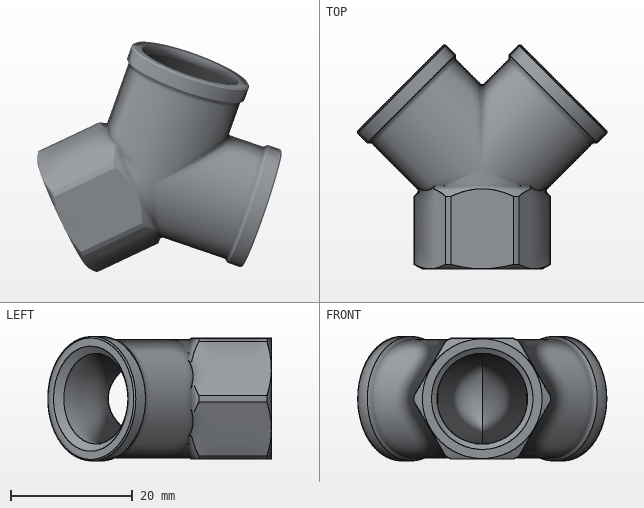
import cadquery as cq
import math


pipe_radius = 9.75
bore_radius = 7.45
blend_radius = 0.5

branch_angle = 45.0
branch_length = 19.0
collar_radius = 10.25
collar_length = 3.0
collar_edge_chamfer = 0.25
branch_mouth_chamfer = 1.2

inlet_length = 16.355
hex_start = 2.92
hex_across_flats = 19.9
hex_corner_radius = 11.2
hex_face_radius = 9.85
inner_chamfer_angle = 45.0
outer_chamfer_angle = 30.0
inlet_mouth_chamfer = 0.9


def revolve_about_y(points):
    """Solid of revolution about the Y axis from a (radius, y) outline."""
    return cq.Workplane("XY").polyline(points).close().revolve(360, (0, 0, 0), (0, 1, 0))


def edges_within(y_low, y_high):
    """Selector for edges lying wholly between two Y positions."""
    reach = 2 * branch_length
    return cq.selectors.BoxSelector(
        (-reach, y_low, -reach), (reach, y_high, reach), boundingbox=True
    )


def place_branches(leg):
    """Union of a leg built along +Y, turned to both branch directions."""
    right = leg.rotate((0, 0, 0), (0, 0, 1), -branch_angle)
    return right.union(right.mirror("YZ"))


def branch_outside():
    """Pipe along +Y with a raised end collar that slopes and blends back to the pipe."""
    collar_start = branch_length - collar_length
    collar_step = collar_radius - pipe_radius
    branch = revolve_about_y([
        (0, 0),
        (pipe_radius, 0),
        (pipe_radius, collar_start),
        (collar_radius, collar_start + collar_step),
        (collar_radius, branch_length - collar_edge_chamfer),
        (collar_radius - collar_edge_chamfer, branch_length),
        (0, branch_length),
    ])
    half_step = collar_step / 2
    collar_foot = edges_within(collar_start - half_step, collar_start + half_step)
    return branch.edges(collar_foot).fillet(blend_radius)


def pipe_body():
    """Outer walls of the three legs, blended where they meet."""
    neck = cq.Workplane("XZ").circle(pipe_radius).extrude(inlet_length)
    body = place_branches(branch_outside()).union(neck)
    return body.edges("%ELLIPSE").fillet(blend_radius)


def turned_head():
    """Round blank of the inlet head, with a cone at each end."""
    inner_rise = hex_corner_radius - pipe_radius
    inner_drop = inner_rise * math.tan(math.radians(inner_chamfer_angle))
    outer_rise = hex_corner_radius - hex_face_radius
    outer_drop = outer_rise * math.tan(math.radians(outer_chamfer_angle))
    return revolve_about_y([
        (0, -hex_start),
        (pipe_radius, -hex_start),
        (hex_corner_radius, -hex_start - inner_drop),
        (hex_corner_radius, -inlet_length + outer_drop),
        (hex_face_radius, -inlet_length),
        (0, -inlet_length),
    ])


def outer_body():
    """Solid outside of the fitting: the pipes with the turned head blended on and cut to six flats.

    Two of the flats are square to Z, and the cut leaves the pipe walls untouched.
    """
    pipes = pipe_body()
    cone_middle = -hex_start - (hex_corner_radius - pipe_radius) / 2
    pipe_joint = edges_within(cone_middle, -hex_start + blend_radius)
    blended = pipes.union(turned_head()).edges(pipe_joint).fillet(blend_radius)

    across_corners = hex_across_flats / math.cos(math.pi / 6)
    waste_around_hexagon = (
        cq.Workplane("XZ")
        .circle(across_corners)
        .polygon(6, across_corners)
        .extrude(inlet_length)
        .cut(pipes)
    )
    return blended.cut(waste_around_hexagon)


def bore(length, mouth_chamfer):
    """Bore along +Y from the origin, widened at 45 degrees at its open end."""
    return revolve_about_y([
        (0, 0),
        (bore_radius, 0),
        (bore_radius, length - mouth_chamfer),
        (bore_radius + mouth_chamfer, length),
        (0, length),
    ])


branch_bores = place_branches(bore(branch_length, branch_mouth_chamfer))
inlet_bore = bore(inlet_length, inlet_mouth_chamfer).rotate((0, 0, 0), (0, 0, 1), 180)

result = outer_body().cut(branch_bores).cut(inlet_bore)